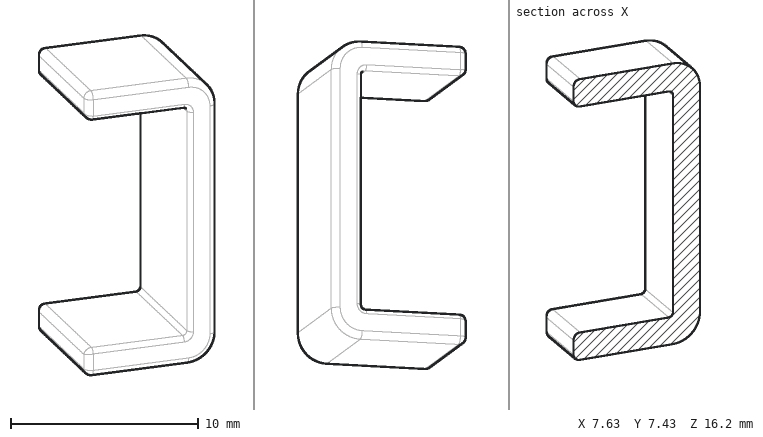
import cadquery as cq

width = 7.63
depth = 7.43
height = 16.23
wall = 1.6

outer_bend_radius = 1.6
inner_bend_radius = 0.25
outer_edge_radius = 0.39
inner_edge_radius = 0.28

back_y = depth / 2
front_y = -depth / 2
inner_height = height - 2 * wall


def block(y_start, y_end, block_height, bend_radius):
    """Full-width block, centred in Z, with its two rear edges rounded."""
    return (
        cq.Workplane("XY")
        .box(width, y_end - y_start, block_height)
        .translate((0, (y_start + y_end) / 2, 0))
        .edges("|X and >Y")
        .fillet(bend_radius)
    )


outer = block(front_y, back_y, height, outer_bend_radius)
cavity = block(front_y, back_y - wall, inner_height, inner_bend_radius)
bracket = outer.cut(cavity)

margin = 0.02
cavity_edges = cq.selectors.BoxSelector(
    (-width, front_y - margin, -inner_height / 2 - margin),
    (width, back_y - wall + margin, inner_height / 2 + margin),
)
side_edges = cq.StringSyntaxSelector("<X or >X")
tip_edges = cq.StringSyntaxSelector("<Y")

bracket = bracket.edges((side_edges - cavity_edges) + tip_edges).fillet(outer_edge_radius)

result = bracket.edges(side_edges & cavity_edges).fillet(inner_edge_radius)